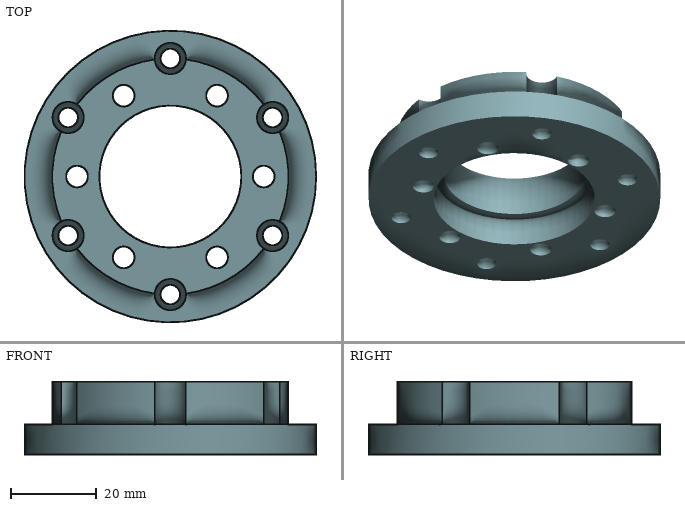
import cadquery as cq

flange_diameter = 68.0
flange_thickness = 7.0
boss_diameter = 55.0
total_height = 17.0

bore_diameter = 33.0
recess_diameter = 37.6
recess_depth = 7.0

screw_count = 6
screw_circle_diameter = boss_diameter
screw_hole_diameter = 4.5
screw_head_diameter = 7.3
screw_head_sink = 5.0
screw_start_angle = 30.0

face_hole_count = 6
face_hole_circle_diameter = 43.5
face_hole_diameter = 5.0
face_hole_start_angle = 0.0


def cylinder(diameter, bottom, top):
    """Upright cylinder on the part axis between two heights."""
    return cq.Workplane("XY").workplane(offset=bottom).circle(diameter / 2).extrude(top - bottom)


def cylinder_ring(count, circle_diameter, start_angle, diameter, bottom, top):
    """Equally spaced upright cylinders on a pitch circle."""
    return (
        cq.Workplane("XY")
        .workplane(offset=bottom)
        .polarArray(circle_diameter / 2, start_angle, 360, count)
        .circle(diameter / 2)
        .extrude(top - bottom)
    )


def make_body():
    flange = cylinder(flange_diameter, 0, flange_thickness)
    boss = cylinder(boss_diameter, flange_thickness, total_height)
    return flange.union(boss)


def cut_bore(body):
    bore = cylinder(bore_diameter, 0, total_height)
    recess = cylinder(recess_diameter, 0, recess_depth)
    return body.cut(bore).cut(recess)


def cut_screws(body):
    pocket_floor = flange_thickness - screw_head_sink
    ring = (screw_count, screw_circle_diameter, screw_start_angle)
    holes = cylinder_ring(*ring, screw_hole_diameter, 0, total_height)
    heads = cylinder_ring(*ring, screw_head_diameter, pocket_floor, total_height)
    return body.cut(holes).cut(heads)


def cut_face_holes(body):
    holes = cylinder_ring(
        face_hole_count,
        face_hole_circle_diameter,
        face_hole_start_angle,
        face_hole_diameter,
        0,
        total_height,
    )
    return body.cut(holes)


result = cut_face_holes(cut_screws(cut_bore(make_body())))